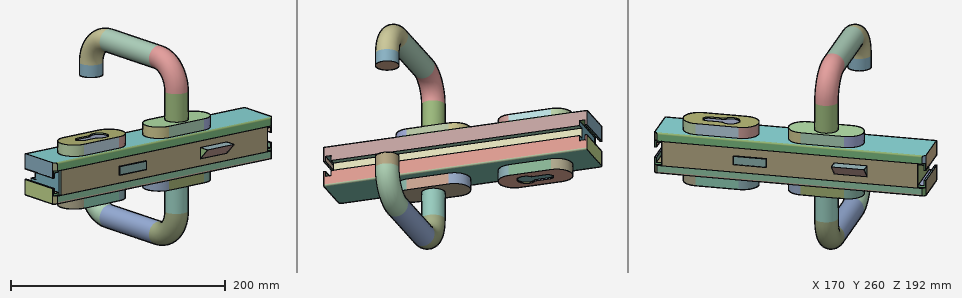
import cadquery as cq
import math

overall_width = 170.0


case_width = 45.0
case_length = 260.0
case_height = 40.0
end_chamfer = 3.0
long_edge_radius = 1.5
groove_height = 10.1
groove_depth = 6.5
slot_height = 20.0
slot_depth = 7.3
slot_lip = 1.8

plate_width = 24.2
plate_thickness = 2.5
tongue_length = 31.5
latch_reach = 11.0
latch_top = 5.7
latch_y = 58.5
bolt_height = 8.3
bolt_reach = 1.5
bolt_y = -38.0

rosette_width = 30.5
rosette_length = 72.0
rosette_height = 11.0
fittings_x = 25.0
handle_y = 30.5
key_y = -70.5

key_radius = 8.5
key_slot_width = 10.5
key_length = 35.0
key_recess = 1.3
key_top_offset = 17.7

tube_diameter = 22.0
bend_radius = 27.0
overall_height = 192.0
free_leg_length = 11.7

rosette_base = case_height / 2
rosette_top = rosette_base + rosette_height
plate_length = case_length - 2 * slot_depth
tube_radius = tube_diameter / 2
free_leg_x = case_width + latch_reach - overall_width + tube_radius


def block(x_min, x_max, length, height, y=0.0):
    """Box between two X positions, centred on the given Y and on Z = 0."""
    return cq.Workplane("XY").box(x_max - x_min, length, height).translate(((x_min + x_max) / 2, y, 0))


def make_case():
    """Chamfered bar with a groove along the back, T-slots across both ends and a seat for the lock plate."""
    case = block(0, case_width, case_length, case_height)
    case = case.edges(">X and |Z").chamfer(end_chamfer)
    case = case.edges("(<X or >X) and |Y").fillet(long_edge_radius)

    case = case.cut(block(0, groove_depth, case_length, groove_height))
    case = case.cut(block(case_width - plate_thickness, case_width, case_length, plate_width))
    for side in (-1, 1):
        mouth_y = side * (case_length - slot_depth) / 2
        pocket_y = side * (case_length - slot_lip - slot_depth) / 2
        case = case.cut(block(0, case_width, slot_depth, groove_height, mouth_y))
        case = case.cut(block(0, case_width, slot_depth - slot_lip, slot_height, pocket_y))
    return case


def make_lock():
    """Front plate carrying the bevelled latch and the square bolt."""
    plate = block(case_width - plate_thickness, case_width, plate_length, plate_width)
    bolt = block(case_width - plate_thickness, case_width + bolt_reach, tongue_length, bolt_height, bolt_y)
    latch = (
        cq.Workplane("XZ", origin=(case_width, latch_y + tongue_length / 2, 0))
        .moveTo(0, latch_top)
        .lineTo(latch_reach, latch_top)
        .lineTo(0, latch_top - latch_reach)
        .close()
        .extrude(tongue_length)
    )
    return plate.union(bolt).union(latch)


def make_rosette(y):
    """Plain oblong plate on the top face of the case."""
    return (
        cq.Workplane("XY", origin=(fittings_x, y, rosette_base))
        .slot2D(rosette_length, rosette_width, 90)
        .extrude(rosette_height)
    )


def make_key_rosette():
    """Oblong plate with a shallow keyhole-shaped recess."""
    round_y = key_y + key_top_offset - key_radius
    slot_end_y = key_y + key_top_offset - key_length + key_slot_width / 2
    floor = cq.Workplane("XY", origin=(fittings_x, 0, rosette_top - key_recess))
    keyhole = (
        floor.center(0, round_y)
        .circle(key_radius)
        .extrude(key_recess)
        .union(floor.center(0, (round_y + slot_end_y) / 2)
               .slot2D(round_y - slot_end_y + key_slot_width, key_slot_width, 90)
               .extrude(key_recess))
    )
    return make_rosette(key_y).cut(keyhole)


def make_handle():
    """Bent round bar rising from its rosette, with a short free leg turned back towards the case."""
    grip_z = overall_height / 2 - tube_radius
    bend_z = grip_z - bend_radius
    bend_shift = bend_radius * (1 - math.sqrt(0.5))
    path = (
        cq.Workplane("XZ", origin=(0, handle_y, 0))
        .moveTo(fittings_x, rosette_top)
        .lineTo(fittings_x, bend_z)
        .threePointArc((fittings_x - bend_shift, grip_z - bend_shift), (fittings_x - bend_radius, grip_z))
        .lineTo(free_leg_x + bend_radius, grip_z)
        .threePointArc((free_leg_x + bend_shift, grip_z - bend_shift), (free_leg_x, bend_z))
        .lineTo(free_leg_x, bend_z - free_leg_length)
    )
    return cq.Workplane("XY", origin=(fittings_x, handle_y, rosette_top)).circle(tube_radius).sweep(path)


bodies = [make_case().val(), make_lock().val()]
for fitting in (make_rosette(handle_y), make_key_rosette(), make_handle()):
    bodies.append(fitting.val())
    bodies.append(fitting.mirror("XY").val())

result = cq.Compound.makeCompound(bodies)